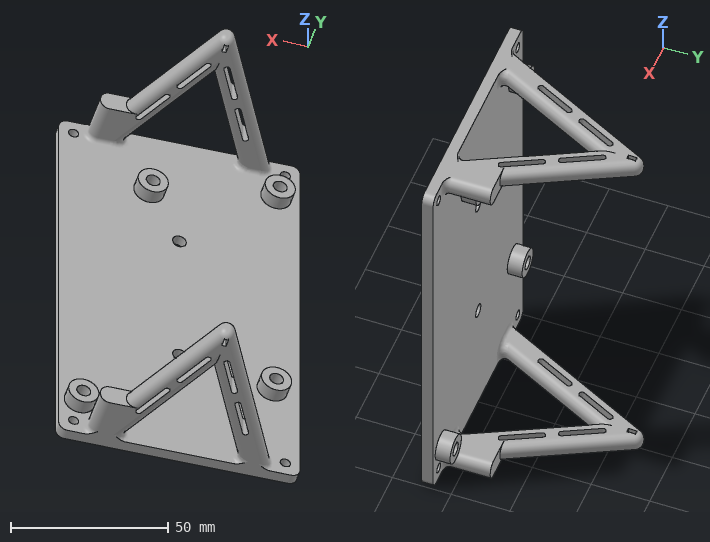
import cadquery as cq
import math

plate_width = 80.0
plate_thickness = 4.0
plate_height = 136.9
plate_corner_radius = 3.0
corner_hole_diameter = 3.3
corner_hole_inset = 4.9

standoff_diameter = 10.0
standoff_height = 5.0
mount_hole_diameter = 4.5
standoff_centres = [(-31.9, 53.1), (10.1, 44.6), (-30.7, -32.2), (33.1, -54.5)]
plain_hole_offset = 25.0

overall_depth = 60.2
strut_slope = 0.5
strut_width = 9.0
frame_thickness = 7.0
edge_radius = 3.0
foot_fillet = 2.0
footing_height = 8 * frame_thickness
selection_margin = 0.01

slot_length = 15.0
slot_width = 1.9
slot_starts = [9.0, 28.3]
tip_slot_width = 1.4
tip_slot_length = 2.9
tip_slot_top = 0.5

shoulder_top = 19.9
shoulder_side = 30.7

strut_angle = math.degrees(math.atan(strut_slope))
frame_mid_z = (plate_height - frame_thickness) / 2
tip_y = overall_depth - edge_radius
strut_length = (tip_y - plate_thickness / 2) / math.cos(math.radians(strut_angle))
strut_axis_offset = strut_width / 2 - edge_radius


def plate_blank(depth):
    """Plate outline with rounded corners, given any depth along Y."""
    return (
        cq.Workplane("XY")
        .box(plate_width, depth, plate_height, centered=(True, False, True))
        .edges("|Y")
        .fillet(plate_corner_radius)
    )


def lean(body):
    """Swing a body hanging down from the origin out to -X and move its top to the frame tip."""
    return body.rotate((0, 0, 0), (0, 0, 1), -strut_angle).translate((0, tip_y, frame_mid_z))


def left_strut():
    """Round-edged bar from the tip to inside the plate, trimmed at the middle plane."""
    bar = (
        cq.Workplane("XY")
        .box(strut_width, strut_length, frame_thickness)
        .edges("|Y")
        .fillet(edge_radius)
        .translate((strut_axis_offset, -strut_length / 2, 0))
    )
    left_half = (
        cq.Workplane("XY")
        .box(plate_width, 2 * overall_depth, 2 * plate_height, centered=(False, True, True))
        .translate((-plate_width, 0, 0))
    )
    return lean(bar).intersect(left_half)


def rounded_tip():
    """Capsule along Z that closes the tip where the two struts meet."""
    tip = (
        cq.Workplane("XY")
        .moveTo(0, -frame_thickness / 2)
        .radiusArc((edge_radius, edge_radius - frame_thickness / 2), -edge_radius)
        .lineTo(edge_radius, frame_thickness / 2 - edge_radius)
        .radiusArc((0, frame_thickness / 2), -edge_radius)
        .close()
        .revolve(360, (0, 0, 0), (0, 1, 0))
    )
    return tip.rotate((0, 0, 0), (1, 0, 0), 90).translate((0, tip_y, frame_mid_z))


def shoulder():
    """Block filling the outer corner between the +X strut and the plate."""
    base_y = plate_thickness / 2
    bottom_inner_x = (tip_y - base_y) * strut_slope
    top_inner_x = (tip_y - shoulder_top) * strut_slope
    return (
        cq.Workplane("XY")
        .polyline([
            (bottom_inner_x, base_y),
            (shoulder_side, base_y),
            (shoulder_side, shoulder_top),
            (top_inner_x, shoulder_top),
        ])
        .close()
        .extrude(frame_thickness / 2, both=True)
        .edges("|Y")
        .fillet(edge_radius)
        .translate((0, 0, frame_mid_z))
    )


def frame_slots():
    """Two slots in each strut and one short slot across the tip centre."""
    tip_slot_y = tip_y + tip_slot_top - tip_slot_length / 2
    slots = (
        cq.Workplane("XY")
        .box(tip_slot_width, tip_slot_length, 2 * frame_thickness)
        .translate((0, tip_slot_y, frame_mid_z))
    )
    for start in slot_starts:
        slot = lean(
            cq.Workplane("XY")
            .center(strut_axis_offset, -start - slot_length / 2)
            .slot2D(slot_length, slot_width, 90)
            .extrude(frame_thickness, both=True)
        )
        slots = slots.union(slot).union(slot.mirror("YZ"))
    return slots


def top_frame():
    """Frame with filleted feet; its foot fillets are cut flush with the plate's top end."""
    footing = (
        cq.Workplane("XY")
        .box(plate_width, plate_thickness, footing_height, centered=(True, False, True))
        .translate((0, 0, frame_mid_z))
    )
    strut = left_strut()
    frame = footing.union(strut).union(strut.mirror("YZ")).union(shoulder()).union(rounded_tip())
    half_width = plate_width / 2 - selection_margin
    foot_region = cq.selectors.BoxSelector(
        (-half_width, plate_thickness - selection_margin, frame_mid_z - frame_thickness),
        (half_width, plate_thickness + selection_margin, frame_mid_z + frame_thickness),
        boundingbox=True,
    )
    frame = frame.edges(foot_region).fillet(foot_fillet)
    plate_end = (
        cq.Workplane("XY")
        .box(plate_width, overall_depth, 2 * frame_thickness, centered=(True, False, False))
        .translate((0, plate_thickness / 2, plate_height / 2 - 2 * frame_thickness))
    )
    plate_outline = plate_blank(overall_depth)
    return frame.intersect(plate_end).intersect(plate_outline).cut(frame_slots())


def cylinders(centres, diameter, depth):
    """Cylinders along +Y from the front face of the plate."""
    return cq.Workplane("XZ").pushPoints(centres).circle(diameter / 2).extrude(-depth)


corner_hole_x = plate_width / 2 - corner_hole_inset
corner_hole_z = plate_height / 2 - corner_hole_inset
corner_holes = [(x, z) for x in (-corner_hole_x, corner_hole_x) for z in (-corner_hole_z, corner_hole_z)]
mount_holes = standoff_centres + [(0, plain_hole_offset), (0, -plain_hole_offset)]
standoff_top = plate_thickness + standoff_height

upper_frame = top_frame()
result = (
    plate_blank(plate_thickness)
    .union(upper_frame)
    .union(upper_frame.mirror("XY"))
    .union(cylinders(standoff_centres, standoff_diameter, standoff_top))
    .cut(cylinders(corner_holes, corner_hole_diameter, plate_thickness))
    .cut(cylinders(mount_holes, mount_hole_diameter, standoff_top))
)